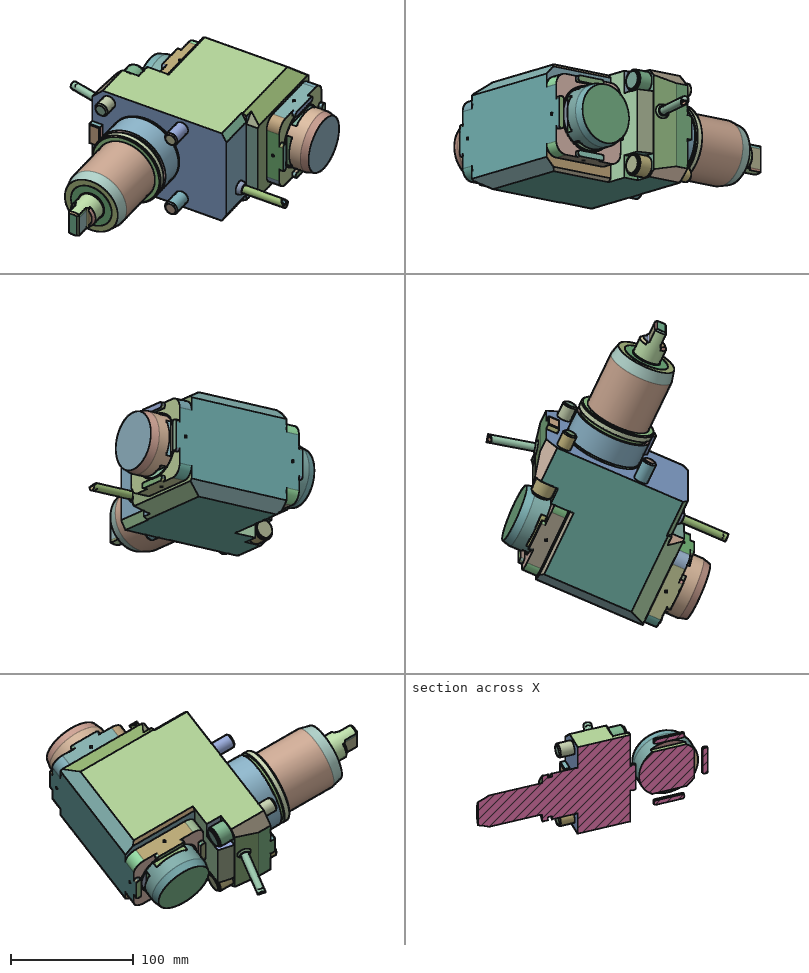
import math

import cadquery as cq


half_height = 45.0
flange_left_x = -50.4
flange_right_x = 76.8
head_left_x = -7.7
head_right_x = 87.8
flange_back_y = 32.0
shoulder_y = 46.0
body_back_y = 114.0

flange_chamfer = 10.0
rear_chamfer = 10.0
head_left_chamfer = 2.8
flange_right_chamfer = 4.4
flange_right_chamfer_angle = 60.0
head_right_chamfer = 14.4
head_right_chamfer_angle = 30.0
taper_start_y = 12.0
side_taper_angle = 13.0
side_step = 0.9

screw_x = 34.5
screw_z = 35.5
screw_diameter = 12.0
screw_end_chamfer = 1.2
screw_head_diameter = 18.0
screw_head_chamfer = 0.6
screw_head_step = 1.3
screw_crown_diameter = 15.0
left_screw_reach = 13.2
right_screw_reach = 18.1
screw_pocket_clearance = 0.3

key_width = 10.0
key_length = 20.0
key_height = 4.9
key_chamfer = 0.7

neck_diameter = 64.6
neck_end_y = -1.7
collar_diameter = 65.0
groove_diameter = 60.5
groove_start_y = -22.5
groove_end_y = -25.8
collar_end_y = -31.2
collar_chamfer = 1.0
shank_diameter = 55.0
shank_taper_y = -77.2
shank_end_diameter = 50.2
shank_end_y = -87.0
end_recess_diameter = 38.7
end_recess_depth = 0.2
drive_diameter = 23.7
drive_ring_diameter = 24.6
drive_ring_length = 0.6
drive_shoulder_y = -102.3
drive_shoulder_chamfer = 2.2
drive_tip_y = -116.3
drive_tip_chamfer = 1.5
tenon_width = 10.2
tenon_root_fillet = 1.3
tenon_flat_height = 17.4
tenon_bevel_depth = 0.5

cover_center_x = 39.8
cover_center_y = 80.0
plate_face_offset = 60.0
plate_size = 68.0
plate_corner_radius = 10.0
tab_length = 27.0
tab_thickness = 5.0
tab_height = 3.5
tab_radius = 2.0
cap_diameter = 53.0
cap_bore_diameter = 55.0
cap_bore_depth = 1.0
cap_taper_start = 15.3
cap_length = 22.2
cap_taper_angle = 15.0
notch_length = 30.0
notch_height = 4.9
pin_hole_diameter = 2.1
pin_hole_depth = 3.0
pin_hole_offset = 6.2

pipe_diameter = 7.0
nozzle_diameter = 4.0
nozzle_depth = 4.0
gland_diameter = 12.0
gland_tip_diameter = 8.6
right_gland_length = 4.5
left_gland_length = 1.8
right_pipe_y = 20.7
right_pipe_z = -22.6
right_pipe_end_x = 120.9
right_bevel_length = 3.9
left_pipe_y = 24.3
left_pipe_z = 10.0
left_pipe_end_x = -87.8
left_bevel_length = 3.7

overlap = 1.0


def box(x_min, x_max, y_min, y_max, z_min, z_max):
    """Axis-aligned block between the given limits."""
    size = (x_max - x_min, y_max - y_min, z_max - z_min)
    return cq.Workplane("XY").box(*size, centered=False).translate((x_min, y_min, z_min))


def prism_along_y(xz_points, y_min, y_max):
    return cq.Workplane("XZ", origin=(0, y_min, 0)).polyline(xz_points).close().extrude(y_min - y_max)


def prism_along_x(yz_points, x_min, x_max):
    return cq.Workplane("YZ", origin=(x_min, 0, 0)).polyline(yz_points).close().extrude(x_max - x_min)


def cut_top_and_bottom(solid, cutter):
    """Remove the cutter and its mirror image below z = 0."""
    return solid.cut(cutter).cut(cutter.mirror("XY"))


def edge_wedge(edge, inward, drop):
    """Triangle that takes the corner off a section whose top edge lies at the given coordinate."""
    return [(edge, half_height), (edge + inward, half_height), (edge, half_height - drop)]


def taper_x(y):
    """X of the tapered left side of the flange at a given y."""
    return flange_left_x + (y - taper_start_y) * math.tan(math.radians(side_taper_angle))


def make_body():
    outline = [
        (flange_left_x, 0),
        (flange_right_x, 0),
        (flange_right_x, flange_back_y),
        (head_right_x, flange_back_y),
        (head_right_x, body_back_y),
        (head_left_x, body_back_y),
        (head_left_x, shoulder_y),
        (taper_x(shoulder_y) + side_step, shoulder_y),
        (taper_x(flange_back_y) + side_step, flange_back_y),
        (taper_x(flange_back_y), flange_back_y),
        (flange_left_x, taper_start_y),
    ]
    solid = cq.Workplane("XY").polyline(outline).close().extrude(half_height, both=True)

    head_right_drop = head_right_chamfer * math.tan(math.radians(head_right_chamfer_angle))
    flange_right_drop = flange_right_chamfer * math.tan(math.radians(flange_right_chamfer_angle))
    flange_left_wedge = edge_wedge(flange_left_x, flange_chamfer, flange_chamfer)
    flange_right_wedge = edge_wedge(flange_right_x, -flange_right_chamfer, flange_right_drop)
    head_left_wedge = edge_wedge(head_left_x, head_left_chamfer, head_left_chamfer)
    head_right_wedge = edge_wedge(head_right_x, -head_right_chamfer, head_right_drop)
    rear_wedge = edge_wedge(body_back_y, -rear_chamfer, rear_chamfer)
    head_front_wedge = edge_wedge(flange_back_y, rear_chamfer, rear_chamfer)

    pocket_margin = screw_head_diameter / 2 + screw_pocket_clearance
    screw_pocket = box(
        flange_left_x,
        pocket_margin - screw_x,
        flange_back_y,
        shoulder_y,
        screw_z - pocket_margin,
        half_height,
    )
    cutters = [
        prism_along_y(flange_left_wedge, 0, shoulder_y),
        prism_along_y(flange_right_wedge, 0, flange_back_y),
        prism_along_y(head_left_wedge, shoulder_y, body_back_y),
        prism_along_y(head_right_wedge, flange_back_y, body_back_y),
        prism_along_x(rear_wedge, head_left_x, head_right_x),
        prism_along_x(head_front_wedge, flange_right_x, head_right_x),
        screw_pocket,
    ]
    for cutter in cutters:
        solid = cut_top_and_bottom(solid, cutter)
    return solid


def cylinder_along_y(x, z, diameter, y_start, y_end):
    return cq.Workplane("XZ", origin=(x, y_start, z)).circle(diameter / 2).extrude(y_start - y_end)


def add_screws(solid):
    for z in (-screw_z, screw_z):
        for x, reach in ((-screw_x, left_screw_reach), (screw_x, right_screw_reach)):
            stem = cylinder_along_y(x, z, screw_diameter, overlap, -reach)
            solid = solid.union(stem.faces("<Y").chamfer(screw_end_chamfer))
        head_start_y = flange_back_y - overlap
        head = cylinder_along_y(-screw_x, z, screw_head_diameter, head_start_y, shoulder_y - screw_head_step)
        crown = cylinder_along_y(-screw_x, z, screw_crown_diameter, head_start_y, shoulder_y)
        solid = solid.union(head.faces(">Y").chamfer(screw_head_chamfer)).union(crown)
    return solid


def make_key():
    left = flange_left_x + (flange_chamfer - key_width) / 2
    key = box(left, left + key_width, -key_height, overlap, -key_length / 2, key_length / 2)
    return key.faces("<Y").chamfer(key_chamfer)


def revolve_about_y(profile):
    """Solid of revolution from (radius, y) points that start and end on the axis."""
    return cq.Workplane("XY").polyline(profile).close().revolve(360, (0, 0, 0), (0, 1, 0))


def make_shank():
    neck = neck_diameter / 2
    collar = collar_diameter / 2
    groove = groove_diameter / 2
    shank = shank_diameter / 2
    recess = end_recess_diameter / 2
    profile = [
        (0, overlap),
        (neck, overlap),
        (neck, neck_end_y),
        (collar, neck_end_y),
        (collar, groove_start_y),
        (groove, groove_start_y),
        (groove, groove_end_y),
        (collar, groove_end_y),
        (collar, collar_end_y + collar_chamfer),
        (collar - collar_chamfer, collar_end_y),
        (shank, collar_end_y),
        (shank, shank_taper_y),
        (shank_end_diameter / 2, shank_end_y),
        (recess, shank_end_y),
        (recess, shank_end_y + end_recess_depth),
        (0, shank_end_y + end_recess_depth),
    ]
    return revolve_about_y(profile)


def make_drive_shaft():
    radius = drive_diameter / 2
    ring = drive_ring_diameter / 2
    ring_end_y = shank_end_y - drive_ring_length
    start_y = shank_end_y + overlap
    shaft = revolve_about_y(
        [
            (0, start_y),
            (ring, start_y),
            (ring, ring_end_y),
            (radius, ring_end_y),
            (radius, drive_shoulder_y + drive_shoulder_chamfer),
            (radius - drive_shoulder_chamfer, drive_shoulder_y),
            (0, drive_shoulder_y),
        ]
    )
    return shaft.union(make_tenon())


def make_tenon():
    """Flat driving tenon with filleted roots and chamfered edges."""
    radius = drive_diameter / 2
    half_width = tenon_width / 2
    root = half_width + tenon_root_fillet
    start_y = drive_shoulder_y + drive_shoulder_chamfer
    round_bar = revolve_about_y(
        [
            (0, start_y),
            (radius, start_y),
            (radius, drive_tip_y + drive_tip_chamfer),
            (radius - drive_tip_chamfer, drive_tip_y),
            (0, drive_tip_y),
        ]
    )
    plan = (
        cq.Workplane("XY")
        .moveTo(-root, start_y)
        .lineTo(root, start_y)
        .lineTo(root, drive_shoulder_y)
        .radiusArc((half_width, drive_shoulder_y - tenon_root_fillet), -tenon_root_fillet)
        .lineTo(half_width, drive_tip_y + drive_tip_chamfer)
        .lineTo(half_width - drive_tip_chamfer, drive_tip_y)
        .lineTo(drive_tip_chamfer - half_width, drive_tip_y)
        .lineTo(-half_width, drive_tip_y + drive_tip_chamfer)
        .lineTo(-half_width, drive_shoulder_y - tenon_root_fillet)
        .radiusArc((-root, drive_shoulder_y), -tenon_root_fillet)
        .close()
        .extrude(radius, both=True)
    )
    tenon = round_bar.intersect(plan)
    for side in (-1, 1):
        bevel = [
            (side * half_width, tenon_flat_height / 2),
            (side * half_width, radius),
            (side * (half_width - tenon_bevel_depth), radius),
        ]
        bevel_prism = prism_along_y(bevel, drive_tip_y, drive_shoulder_y - tenon_root_fillet)
        tenon = cut_top_and_bottom(tenon, bevel_prism)
    return tenon


def make_cover(body_side_x, notch_angles):
    """Cover on the +X side of the spindle axis; notch angles are measured from +Y towards +Z."""
    face_x = cover_center_x + plate_face_offset
    center = (face_x, cover_center_y, 0)
    thickness = face_x - body_side_x + overlap
    plate = cq.Workplane("YZ", origin=center).rect(plate_size, plate_size).extrude(-thickness)
    plate = plate.edges("|X").fillet(plate_corner_radius)
    bore = cq.Workplane("YZ", origin=center).circle(cap_bore_diameter / 2).extrude(-cap_bore_depth)
    plate = plate.cut(bore)

    cap_radius = cap_diameter / 2
    taper_length = cap_length - cap_taper_start
    cap_end_radius = cap_radius - taper_length * math.tan(math.radians(cap_taper_angle))
    cap_profile = [
        (-cap_bore_depth - overlap, 0),
        (-cap_bore_depth - overlap, cap_radius),
        (cap_taper_start, cap_radius),
        (cap_length, cap_end_radius),
        (cap_length, 0),
    ]
    cap = cq.Workplane("XY").polyline(cap_profile).close().revolve(360, (0, 0, 0), (1, 0, 0))
    cap = cap.translate(center)

    notch_floor = math.sqrt(cap_radius**2 - (notch_length / 2) ** 2)
    axis_end = (face_x + cap_length, cover_center_y, 0)
    for angle in notch_angles:
        notch = box(
            face_x,
            face_x + notch_height,
            cover_center_y + notch_floor,
            cover_center_y + cap_radius,
            -notch_length / 2,
            notch_length / 2,
        )
        cap = cap.cut(notch.rotate(center, axis_end, angle))
    cover = plate.union(cap)

    for angle in (0, 90, 180, 270):
        plate_edge_y = cover_center_y + plate_size / 2
        tab = box(
            face_x - overlap,
            face_x + tab_height,
            plate_edge_y - tab_thickness,
            plate_edge_y,
            -tab_length / 2,
            tab_length / 2,
        )
        tab = tab.edges("|X").fillet(tab_radius)
        cover = cover.union(tab.rotate(center, axis_end, angle))
        hole_origin = (face_x - pin_hole_offset, plate_edge_y, 0)
        hole = cq.Workplane("XZ", origin=hole_origin).circle(pin_hole_diameter / 2).extrude(pin_hole_depth)
        cover = cover.cut(hole.rotate(center, axis_end, angle))
    return cover


def make_covers():
    right = make_cover(head_right_x, (0, 90, 180, 270))
    mirrored_left_x = 2 * cover_center_x - head_left_x
    left = make_cover(mirrored_left_x, (0, 90, 270))
    return right, left.mirror("YZ", (cover_center_x, 0, 0))


def make_pipe(gland_length, length, bevel_length, bevel_side):
    """Pipe along +X from x = 0 with a domed gland; half of its end is bevelled towards bevel_side."""
    radius = pipe_diameter / 2
    gland = gland_diameter / 2
    gland_tip = gland_tip_diameter / 2
    bulge = math.hypot(gland_length, gland - gland_tip) / 10
    dome_middle = (gland_length / 2, (gland + gland_tip) / 2 + bulge)
    dome = (
        cq.Workplane("XY")
        .moveTo(-overlap, 0)
        .lineTo(-overlap, gland)
        .lineTo(0, gland)
        .threePointArc(dome_middle, (gland_length, gland_tip))
        .lineTo(gland_length, 0)
        .close()
        .revolve(360, (0, 0, 0), (1, 0, 0))
    )
    tube = cq.Workplane("YZ").circle(radius).extrude(length)
    bevel = prism_along_y(
        [
            (length, 0),
            (length, bevel_side * radius),
            (length - bevel_length, bevel_side * radius),
        ],
        -radius,
        radius,
    )
    bevel_center = (length - bevel_length / 2, 0, bevel_side * radius / 2)
    bevel_normal = (radius, 0, bevel_side * bevel_length)
    bevel_plane = cq.Plane(origin=bevel_center, xDir=(0, 1, 0), normal=bevel_normal)
    nozzle = cq.Workplane(bevel_plane).circle(nozzle_diameter / 2).extrude(-nozzle_depth)
    return dome.union(tube.cut(bevel).cut(nozzle))


def make_right_pipe():
    length = right_pipe_end_x - flange_right_x
    pipe = make_pipe(right_gland_length, length, right_bevel_length, 1)
    return pipe.translate((flange_right_x, right_pipe_y, right_pipe_z))


def make_left_pipe():
    root_x = taper_x(left_pipe_y)
    length = (root_x - left_pipe_end_x) / math.cos(math.radians(side_taper_angle))
    pipe = make_pipe(left_gland_length, length, left_bevel_length, -1)
    pipe = pipe.rotate((0, 0, 0), (0, 0, 1), 180 - side_taper_angle)
    return pipe.translate((root_x, left_pipe_y, left_pipe_z))


result = add_screws(make_body())
pieces = [make_key(), make_shank(), make_drive_shaft(), *make_covers(), make_right_pipe(), make_left_pipe()]
for piece in pieces:
    result = result.union(piece)